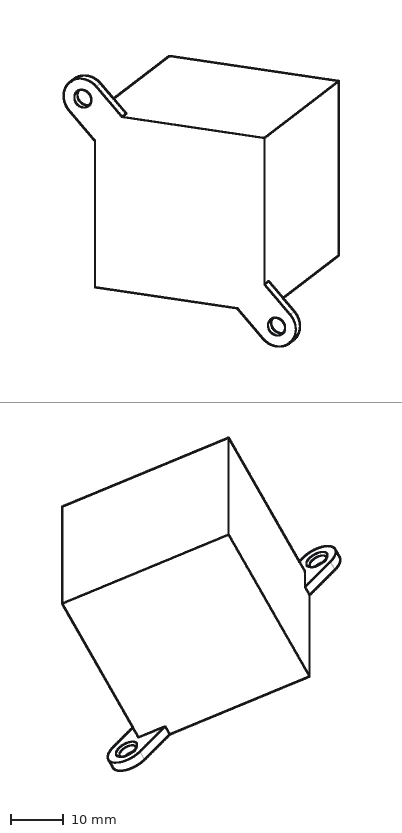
import cadquery as cq
import math

overall_span = 47.95
cube_side = 35.0
lug_radius = 4.0
lug_thickness = 2.0
hole_diameter = 3.5
hole_chamfer = 0.5

eye_offset = overall_span / 2 - lug_radius
eye_spacing = 2 * eye_offset * math.sqrt(2)
eye_centres = [(-eye_offset, eye_offset), (eye_offset, -eye_offset)]


def chamfered_hole(x, z):
    """Through hole in a lug, with a 45 degree chamfer at its rear end."""
    radius = hole_diameter / 2
    bore = cq.Solid.makeCylinder(radius, lug_thickness, cq.Vector(x, 0, z), cq.Vector(0, 1, 0))
    chamfer = cq.Solid.makeCone(
        radius + hole_chamfer,
        radius,
        hole_chamfer,
        cq.Vector(x, lug_thickness, z),
        cq.Vector(0, -1, 0),
    )
    return cq.Workplane(bore).union(cq.Workplane(chamfer))


cube = cq.Workplane("XY").box(cube_side, cube_side, cube_side).translate((0, cube_side / 2, 0))

strap = (
    cq.Workplane("XZ")
    .slot2D(eye_spacing + 2 * lug_radius, 2 * lug_radius, angle=-45)
    .extrude(-lug_thickness)
)

result = cube.union(strap)
for eye_x, eye_z in eye_centres:
    result = result.cut(chamfered_hole(eye_x, eye_z))